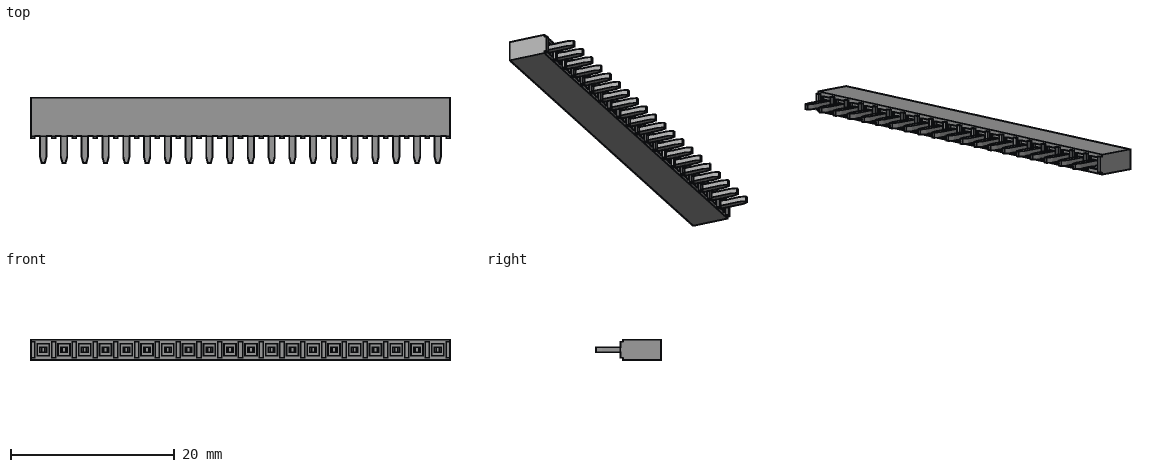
import cadquery as cq

pin_count = 20
pitch = 2.54

rib_width = 0.5
rib_height = 2.0
rib_depth = 0.3
housing_length = pin_count * pitch + rib_width
housing_height = 2.5
housing_depth = 4.7
contact_face_y = -housing_depth / 2

recess_size = 1.5
recess_depth = 0.25
recess_draft = 8

total_depth = 8.0
pin_width = 0.8
pin_height = 0.65
pin_reach = total_depth - housing_depth
tip_width = 0.4
tip_length = 0.75

pin_positions = [(i - (pin_count - 1) / 2) * pitch for i in range(pin_count)]
rib_positions = [(i - pin_count / 2) * pitch for i in range(pin_count + 1)]


def make_housing():
    return cq.Workplane("XY").box(housing_length, housing_depth, housing_height)


def make_rib(x):
    """Spacer rib standing on the contact face, on a pitch boundary."""
    return (
        cq.Workplane("XZ", origin=(x, contact_face_y, 0))
        .rect(rib_width, rib_height)
        .extrude(rib_depth)
    )


def make_recess(x):
    """Drafted square pocket sunk into the contact face."""
    return (
        cq.Workplane("XZ", origin=(x, contact_face_y, 0))
        .rect(recess_size, recess_size)
        .extrude(-recess_depth, taper=recess_draft)
    )


def make_pin(x):
    """Flat-sided pin from the recess floor to its narrowed tip."""
    root_y = contact_face_y + recess_depth
    tip_y = contact_face_y - pin_reach
    shoulder_y = tip_y + tip_length
    half_width = pin_width / 2
    half_tip = tip_width / 2
    return (
        cq.Workplane("XY")
        .moveTo(x - half_width, root_y)
        .lineTo(x + half_width, root_y)
        .lineTo(x + half_width, shoulder_y)
        .lineTo(x + half_tip, tip_y)
        .lineTo(x - half_tip, tip_y)
        .lineTo(x - half_width, shoulder_y)
        .close()
        .extrude(pin_height / 2, both=True)
    )


result = make_housing()
for rib_x in rib_positions:
    result = result.union(make_rib(rib_x))
for pin_x in pin_positions:
    result = result.cut(make_recess(pin_x)).union(make_pin(pin_x))